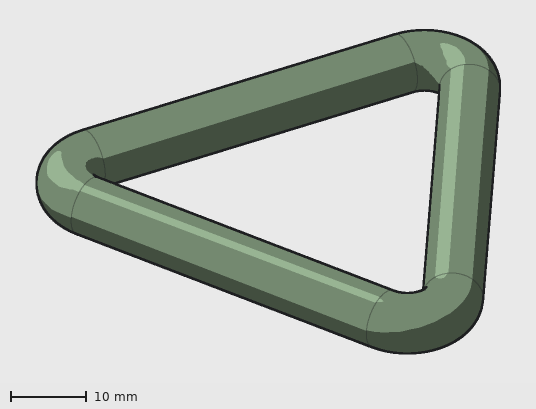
import cadquery as cq
import math

overall_width = 66.2
rod_diameter = 8.0
outer_bend_radius = 10.0

rod_radius = rod_diameter / 2
bend_radius = outer_bend_radius - rod_radius

side_length = overall_width - 2 * outer_bend_radius
corner_distance = side_length / math.sqrt(3)
corner_angles = (-30, 90, 210)
half_bend = 60


def bend_point(corner_angle, angle_offset):
    """Centreline point on a bend, at an angle from the corner's outward direction."""
    corner = math.radians(corner_angle)
    direction = math.radians(corner_angle + angle_offset)
    return (
        corner_distance * math.cos(corner) + bend_radius * math.cos(direction),
        corner_distance * math.sin(corner) + bend_radius * math.sin(direction),
    )


bottom_y = bend_point(corner_angles[0], -half_bend)[1]
centreline = cq.Workplane("XY").moveTo(0, bottom_y)
for corner_angle in corner_angles:
    centreline = centreline.lineTo(*bend_point(corner_angle, -half_bend))
    centreline = centreline.threePointArc(
        bend_point(corner_angle, 0),
        bend_point(corner_angle, half_bend),
    )
centreline = centreline.close()

section = cq.Workplane("YZ").center(bottom_y, 0).circle(rod_radius)
result = section.sweep(centreline)